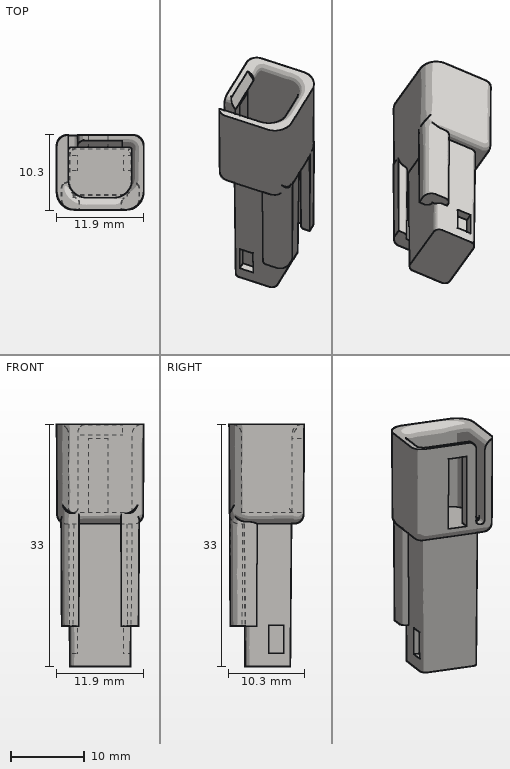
import cadquery as cq
import math



total_height = 33.0
shroud_bottom_z = 19.45
leg_bottom_z = 5.5
leg_top_z = 21.95
cavity_floor_z = 21.0

shroud_half_x = 11.9 / 2
shroud_half_y = 10.25 / 2
shroud_front_radius = 2.5
shroud_back_radius = 1.5
shroud_bottom_fillet = 1.3
shroud_draft = 0.33

body_half_x = 4.14
body_front_y = -2.95
body_back_y = 3.24
body_corner_radius = 0.85
body_draft = 0.48

leg_outer_x = 5.25
leg_inner_x = 2.9
leg_front_y = -shroud_half_y + (total_height - leg_bottom_z) * math.tan(math.radians(shroud_draft))
leg_back_y = -1.36
leg_outer_radius = 1.35
leg_edge_radius = 0.8
leg_front_flange = 0.8
leg_tip_slope = 60.0

cavity_half_x = 4.33
cavity_half_y = 3.44
cavity_front_radius = 2.45
cavity_back_radius = 0.45
lead_in_radius = 1.3

slot_right_x = -3.05
slot_mouth_radius = 1.05
ramp_right_x = 3.0
ramp_top_y = 4.38
ramp_drop = 1.45
window_left_x = -1.65
window_right_x = 1.05
window_top_z = 31.1

cut_margin = 1.0

pocket_front_y = 0.32
pocket_back_y = 2.31
pocket_bottom_z = 1.82
pocket_top_z = 5.63
pocket_depth = 1.0


def rounded_outline(z, half_x, front_y, back_y, front_radius, back_radius):
    """Rectangle at height z with separate front and back corner radii."""
    return (
        cq.Workplane("XY", origin=(0, 0, z))
        .moveTo(-half_x + front_radius, front_y)
        .lineTo(half_x - front_radius, front_y)
        .radiusArc((half_x, front_y + front_radius), -front_radius)
        .lineTo(half_x, back_y - back_radius)
        .radiusArc((half_x - back_radius, back_y), -back_radius)
        .lineTo(-half_x + back_radius, back_y)
        .radiusArc((-half_x, back_y - back_radius), -back_radius)
        .lineTo(-half_x, front_y + front_radius)
        .radiusArc((-half_x + front_radius, front_y), -front_radius)
        .close()
    )


def make_shroud():
    outline = rounded_outline(
        total_height, shroud_half_x, -shroud_half_y, shroud_half_y, shroud_front_radius, shroud_back_radius
    )
    shroud = outline.extrude(shroud_bottom_z - total_height, taper=shroud_draft)
    return shroud.faces("<Z").edges().fillet(shroud_bottom_fillet)


def make_body():
    outline = rounded_outline(
        0, body_half_x, body_front_y, body_back_y, body_corner_radius, body_corner_radius
    )
    return outline.extrude(cavity_floor_z, taper=-body_draft)


def make_right_leg():
    """Corner leg with rounded edges, joined to the corner of the body by a web."""
    web_x = leg_inner_x + leg_edge_radius
    flange_y = leg_front_y + leg_front_flange
    leg = (
        cq.Workplane("XY", origin=(0, 0, leg_bottom_z))
        .moveTo(leg_inner_x, leg_front_y)
        .lineTo(leg_outer_x - leg_outer_radius, leg_front_y)
        .radiusArc((leg_outer_x, leg_front_y + leg_outer_radius), -leg_outer_radius)
        .lineTo(leg_outer_x, leg_back_y - leg_edge_radius)
        .radiusArc((leg_outer_x - leg_edge_radius, leg_back_y), -leg_edge_radius)
        .lineTo(web_x, leg_back_y)
        .lineTo(web_x, flange_y + leg_edge_radius)
        .radiusArc((leg_inner_x, flange_y), -leg_edge_radius)
        .close()
        .extrude(leg_top_z - leg_bottom_z, taper=-shroud_draft)
    )
    slope_z = shroud_bottom_z + shroud_bottom_fillet
    slope_rise = leg_top_z + cut_margin - slope_z
    slope_run = slope_rise / math.tan(math.radians(leg_tip_slope))
    tip_cut = (
        cq.Workplane("YZ")
        .moveTo(-shroud_half_y, slope_z)
        .lineTo(-shroud_half_y + slope_run, slope_z + slope_rise)
        .lineTo(-shroud_half_y, slope_z + slope_rise)
        .close()
        .extrude(shroud_half_x)
    )
    return leg.cut(tip_cut)


def make_slot():
    """Round-bottomed slot through the back wall, flush with the left cavity wall and flared at the rim."""
    left_x = -cavity_half_x
    half_width = (slot_right_x - left_x) / 2
    return (
        cq.Workplane("XZ", origin=(0, shroud_half_y + cut_margin, 0))
        .moveTo(left_x - lead_in_radius, total_height)
        .radiusArc((left_x, total_height - lead_in_radius), lead_in_radius)
        .lineTo(left_x, cavity_floor_z + half_width)
        .radiusArc((slot_right_x, cavity_floor_z + half_width), -half_width)
        .lineTo(slot_right_x, total_height - slot_mouth_radius)
        .radiusArc((slot_right_x + slot_mouth_radius, total_height), slot_mouth_radius)
        .close()
        .extrude(shroud_half_y + cut_margin - (cavity_half_y - cavity_back_radius))
    )


def make_ramp():
    """Flat ramp that replaces the round lead-in along the back wall."""
    return (
        cq.Workplane("YZ", origin=(slot_right_x, 0, 0))
        .moveTo(ramp_top_y, total_height)
        .lineTo(cavity_half_y, total_height - ramp_drop)
        .lineTo(cavity_half_y - cut_margin, total_height - ramp_drop)
        .lineTo(cavity_half_y - cut_margin, total_height)
        .close()
        .extrude(ramp_right_x - slot_right_x)
    )


def box_between(x_range, y_range, z_range):
    sizes = [high - low for low, high in (x_range, y_range, z_range)]
    corner = (x_range[0], y_range[0], z_range[0])
    return cq.Workplane("XY", origin=corner).box(*sizes, centered=False)


def make_window():
    """Opening through the back wall, from below the ramp down to the cavity floor."""
    return box_between(
        (window_left_x, window_right_x),
        (cavity_half_y - cut_margin, shroud_half_y + cut_margin),
        (cavity_floor_z, window_top_z),
    )


def make_right_pocket():
    return box_between(
        (body_half_x - pocket_depth, body_half_x + cut_margin),
        (pocket_front_y, pocket_back_y),
        (pocket_bottom_z, pocket_top_z),
    )


def hollow(shell):
    """Cut the cavity and round its rim."""
    cavity = rounded_outline(
        cavity_floor_z, cavity_half_x, -cavity_half_y, cavity_half_y, cavity_front_radius, cavity_back_radius
    ).extrude(total_height - cavity_floor_z)
    opened = shell.cut(cavity)
    rim_edges = opened.faces(">Z").wires(cq.selectors.LengthNthSelector(0)).edges()
    return rim_edges.fillet(lead_in_radius)


right_leg = make_right_leg()
right_pocket = make_right_pocket()

result = make_shroud().union(make_body())
result = result.union(right_leg).union(right_leg.mirror("YZ"))
result = hollow(result)
result = result.cut(make_slot()).cut(make_ramp()).cut(make_window())
result = result.cut(right_pocket).cut(right_pocket.mirror("YZ"))